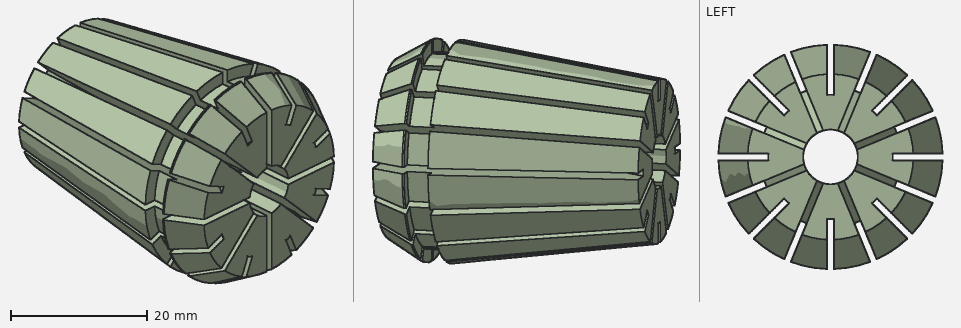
import cadquery as cq
import math

length = 40.0
max_diameter = 33.0
max_radius = max_diameter / 2
bore_radius = 4.0
cone_length = 30.8
cone_half_angle = 8.0
narrow_radius = max_radius - cone_length * math.tan(math.radians(cone_half_angle))

groove_width = 3.65
groove_radius = 14.55
rim_land = 0.3
rim_taper_angle = 30.0
groove_end = cone_length + groove_width
rim_taper_start = groove_end + rim_land
rear_radius = max_radius - (length - rim_taper_start) * math.tan(math.radians(rim_taper_angle))

slots_per_end = 8
slot_width = 1.0
saw_radius = 32.0
rear_cut_depth_radius = 3.35
front_cut_depth_radius = 1.4
rear_cut_exit_radius = 9.15
front_cut_exit_radius = 10.35
slot_top = max_radius + 0.4


def collet_body():
    profile = [
        (0, bore_radius),
        (0, narrow_radius),
        (cone_length, max_radius),
        (cone_length, groove_radius),
        (groove_end, groove_radius),
        (groove_end, max_radius),
        (rim_taper_start, max_radius),
        (length, rear_radius),
        (length, bore_radius),
    ]
    return cq.Workplane("XY").polyline(profile).close().revolve(360, (0, 0, 0), (1, 0, 0))


def rear_slot(depth_radius, exit_radius):
    """Cut entered from the rear end: it runs along the bore at depth_radius, then its floor
    rises on the saw's arc and leaves the narrow face at exit_radius."""
    saw_center_height = depth_radius + saw_radius
    rise_angle = math.acos((saw_center_height - exit_radius) / saw_radius)
    arc_run = saw_radius * math.sin(rise_angle)
    arc_middle = (
        arc_run - saw_radius * math.sin(rise_angle / 2),
        saw_center_height - saw_radius * math.cos(rise_angle / 2),
    )
    return (
        cq.Workplane("XY")
        .moveTo(length, depth_radius)
        .lineTo(arc_run, depth_radius)
        .threePointArc(arc_middle, (0, exit_radius))
        .lineTo(0, slot_top)
        .lineTo(length, slot_top)
        .close()
        .extrude(slot_width / 2, both=True)
    )


def front_slot(depth_radius, exit_radius):
    """The same kind of cut entered from the narrow end."""
    return rear_slot(depth_radius, exit_radius).mirror("YZ", (length / 2, 0, 0))


result = collet_body()
slot_pitch = 360 / slots_per_end
rear_cut = rear_slot(rear_cut_depth_radius, rear_cut_exit_radius)
front_cut = front_slot(front_cut_depth_radius, front_cut_exit_radius)
for i in range(slots_per_end):
    angle = i * slot_pitch
    result = result.cut(rear_cut.rotate((0, 0, 0), (1, 0, 0), angle))
    result = result.cut(front_cut.rotate((0, 0, 0), (1, 0, 0), angle + slot_pitch / 2))